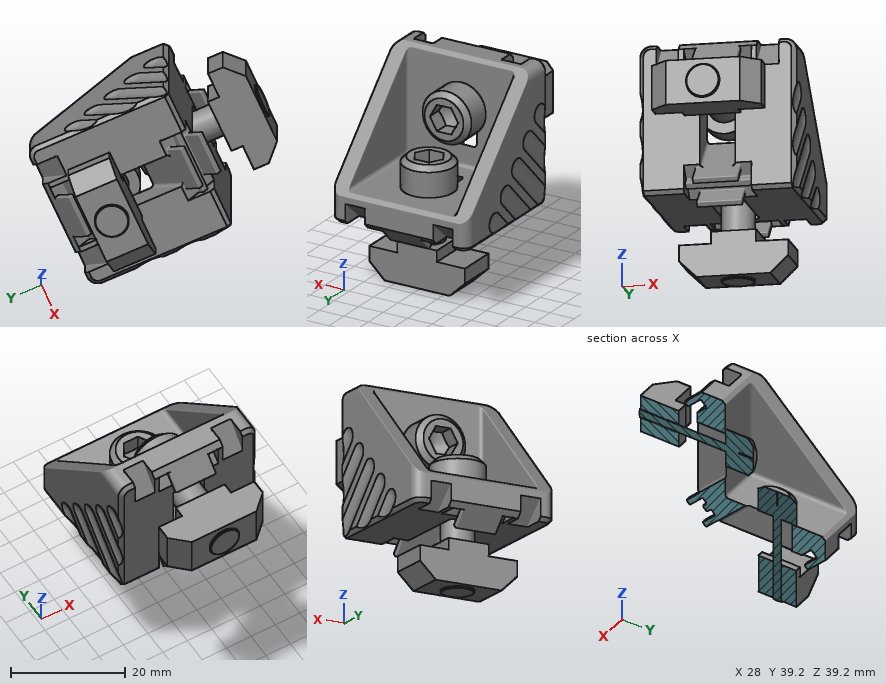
import cadquery as cq
import math

MIRROR_NORMAL = (0, 1, -1)

BRACKET_WIDTH = 28.0
LEG = 27.0
NOSE = 5.3
CORNER_RADIUS = 2.0
FACE_CHAMFER = 0.75
RIM_FILLET = 0.15

WALL = 6.0
POCKET_WIDTH = 22.0
POCKET_FILLET = 0.75
MOUTH_FILLET = 0.25

SCREW_OFFSET = 16.9
SLOT_WIDTH = 6.3
SLOT_FILLET = 0.6
SLOT_FLOOR = 4.2

NOTCH_INNER = 6.98
NOTCH_OUTER = 10.98
NOTCH_DEPTH = 4.0
NOTCH_LENGTH = 4.63
NOTCH_FILLET = 0.15
LIP_CHAMFER = 1.0

TAB_WIDTH = 8.08
TAB_THICKNESS = 1.1
TAB_LENGTH = 3.8
TAB_FILLET = 0.2
RECESS_WIDTH = 12.1
RECESS_FILLET = 0.25
OUTER_RECESS_SUM = LEG - LIP_CHAMFER
OUTER_RECESS_DIFF = 22.05
OUTER_TAB_DIFF = OUTER_RECESS_SUM
INNER_RECESS_SUM = 4.98
INNER_TAB_DIFF = SLOT_FLOOR
RIB_SUM = 3.18
RIB_DIFF = 0.95

GROOVE_COUNT = 5
GROOVE_PITCH = 5.37
GROOVE_WIDTH = 3.65
GROOVE_DEPTH = 0.55
GROOVE_START_SUM = 20.4

SHAFT_DIAMETER = 6.0
SCREW_TIP = 12.2
TIP_CHAMFER = 0.15
HEAD_DIAMETER = 10.0
HEAD_HEIGHT = 5.85
HEAD_CHAMFER = 1.0
HEX_FLATS = 5.0
HEX_DEPTH = 2.98
HEX_TIP_ANGLE = 120

NUT_TOP = 3.8
NUT_FLANGE_TOP = 5.95
NUT_TAPER_START = 8.82
NUT_BOTTOM = 11.85
NUT_FLANGE_WIDTH = 19.55
NUT_BOTTOM_WIDTH = 13.25
NUT_LENGTH = 7.95
FRONT_NECK_WIDTH = 10.05
BOTTOM_NECK_WIDTH = 8.08


def prism(points, width):
    """Extrude a (y, z) outline symmetrically about x = 0."""
    return cq.Workplane("YZ").polyline(points).close().extrude(width / 2, both=True)


def mirrored(body):
    """Swap the Y and Z sides of a body."""
    return cq.Workplane(body.val().mirror(MIRROR_NORMAL))


def with_mirror(body):
    return body.union(mirrored(body))


def point(total, difference):
    """The (y, z) point with the given y + z and z - y."""
    return ((total - difference) / 2, (total + difference) / 2)


def block():
    body = prism([(0, 0), (LEG, 0), (LEG, NOSE), (NOSE, LEG), (0, LEG)], BRACKET_WIDTH)
    body = body.faces(">Z").edges("|Y").fillet(CORNER_RADIUS)
    body = body.faces(">Y").edges("|Z").fillet(CORNER_RADIUS)
    body = body.faces("<Y or <Z").edges().chamfer(FACE_CHAMFER)
    return body.faces(">(0,1,1)").edges().fillet(RIM_FILLET)


def pocket():
    body = prism([(WALL, WALL), (2 * LEG, WALL), (WALL, 2 * LEG)], POCKET_WIDTH)
    return body.edges("|Y or |Z or <(0,1,1)").fillet(POCKET_FILLET)


def with_rounded_mouth(body):
    """Round the edge where the pocket opens into the sloping face."""
    mouth = [edge for wire in body.faces(">(0,1,1)").val().innerWires() for edge in wire.Edges()]
    return cq.Workplane(body.val().fillet(MOUTH_FILLET, mouth))


def slot():
    """Screw slot through the front wall, with a floor that slopes inward."""
    slot_top = SCREW_OFFSET + SLOT_WIDTH / 2
    body = prism([(0, SLOT_FLOOR), (WALL, SLOT_FLOOR + WALL), (WALL, slot_top), (0, slot_top)], SLOT_WIDTH)
    return body.edges("|Y").fillet(SLOT_FILLET).edges("|(0,1,1)").fillet(SLOT_FILLET)


def notch():
    """One of the sloping notches across the top front edge, on the +X side."""
    outline = [(0, LEG - NOTCH_LENGTH), (NOTCH_DEPTH, LEG), (0, LEG)]
    body = prism(outline, NOTCH_OUTER - NOTCH_INNER)
    body = body.faces(">(0,1,-1)").edges("not |X").fillet(NOTCH_FILLET)
    return body.translate(((NOTCH_OUTER + NOTCH_INNER) / 2, 0, 0))


def lip_chamfer():
    return prism([(0, LEG - LIP_CHAMFER), (LIP_CHAMFER, LEG), (0, LEG)], 2 * NOTCH_INNER)


def outer_recess():
    """Recess in the front face for the upper tab: one wall along the tab, one square to it."""
    outline = [
        (0, OUTER_RECESS_DIFF),
        point(OUTER_RECESS_SUM, OUTER_RECESS_DIFF),
        (0, OUTER_RECESS_SUM),
    ]
    return prism(outline, RECESS_WIDTH).edges(">Y").fillet(RECESS_FILLET)


def inner_recess():
    """Recess across the edge where the mounting faces meet, with a rib between its two tabs."""
    outline = [
        (0, 0),
        (INNER_RECESS_SUM, 0),
        point(INNER_RECESS_SUM, -RIB_DIFF),
        point(RIB_SUM, -RIB_DIFF),
        point(RIB_SUM, RIB_DIFF),
        point(INNER_RECESS_SUM, RIB_DIFF),
        (0, INNER_RECESS_SUM),
    ]
    body = prism(outline, RECESS_WIDTH)
    return body.edges("|X and (not <Y) and (not <Z)").fillet(RECESS_FILLET)


def tab(root_sum, top_diff):
    """Tab standing out square to the sloping face, from the recess wall where y + z = root_sum."""
    tip_sum = root_sum - TAB_LENGTH * math.sqrt(2)
    low_diff = top_diff - TAB_THICKNESS * math.sqrt(2)
    body = prism(
        [
            point(root_sum, low_diff),
            point(root_sum, top_diff),
            point(tip_sum, top_diff),
            point(tip_sum, low_diff),
        ],
        TAB_WIDTH,
    )
    return body.edges("|(0,1,1) or <(0,1,1)").fillet(TAB_FILLET)


def side_grooves():
    """Shallow round grooves with ball ends on the +X side, running parallel to the tabs."""
    radius = (GROOVE_WIDTH**2 / 4 + GROOVE_DEPTH**2) / (2 * GROOVE_DEPTH)
    axis_x = BRACKET_WIDTH / 2 - GROOVE_DEPTH + radius
    cutters = []
    for i in range(GROOVE_COUNT):
        difference = (i - (GROOVE_COUNT - 1) / 2) * GROOVE_PITCH * math.sqrt(2)
        y, z = point(GROOVE_START_SUM, difference)
        start = cq.Vector(axis_x, y, z)
        cutters.append(cq.Solid.makeSphere(radius, start, angleDegrees1=-90, angleDegrees2=90))
        cutters.append(cq.Solid.makeCylinder(radius, LEG, start, cq.Vector(0, -1, -1)))
    return cutters


def with_tab_roots(body):
    """Fillet where the two inner tabs meet the recess wall behind them."""
    outer_diff = INNER_TAB_DIFF
    inner_diff = INNER_TAB_DIFF - TAB_THICKNESS * math.sqrt(2)
    tolerance = 0.005
    roots = []
    for edge in body.edges().vals():
        center = edge.Center()
        on_wall = abs(center.y + center.z - INNER_RECESS_SUM) < tolerance
        beside_tab = abs(center.x) < TAB_WIDTH / 2 + tolerance
        across_tab = inner_diff - tolerance < abs(center.z - center.y) < outer_diff + tolerance
        if on_wall and beside_tab and across_tab:
            roots.append(edge)
    return cq.Workplane(body.val().fillet(TAB_FILLET, roots))


def make_bracket():
    body = with_rounded_mouth(block().cut(pocket()))
    for cutter in side_grooves():
        body = body.cut(cq.Workplane(cutter)).cut(cq.Workplane(cutter.mirror("YZ")))
    body = body.cut(with_mirror(notch()).union(with_mirror(notch()).mirror("YZ")))
    body = body.cut(lip_chamfer()).cut(mirrored(lip_chamfer()))
    body = body.cut(outer_recess()).cut(mirrored(outer_recess())).cut(inner_recess())
    body = body.union(with_mirror(tab(INNER_RECESS_SUM, INNER_TAB_DIFF)))
    body = with_tab_roots(body).union(with_mirror(tab(OUTER_RECESS_SUM, OUTER_TAB_DIFF)))
    return body.cut(slot()).cut(mirrored(slot()))


def make_screw():
    """Socket-head screw along Y, its head seated on the pocket wall."""
    head_top = WALL + HEAD_HEIGHT
    center = cq.Vector(0, 0, SCREW_OFFSET)
    along = cq.Vector(0, 1, 0)
    shaft = cq.Workplane(
        cq.Solid.makeCylinder(SHAFT_DIAMETER / 2, SCREW_TIP + WALL, center - along * SCREW_TIP, along)
    ).faces("<Y").chamfer(TIP_CHAMFER)
    head = cq.Workplane(
        cq.Solid.makeCylinder(HEAD_DIAMETER / 2, HEAD_HEIGHT, center + along * WALL, along)
    ).faces(">Y").chamfer(HEAD_CHAMFER)

    hex_radius = HEX_FLATS / math.sqrt(3)
    cone_depth = hex_radius / math.tan(math.radians(HEX_TIP_ANGLE / 2))
    floor = center + along * (head_top - HEX_DEPTH)
    hexagon = (
        cq.Workplane("XZ", origin=(0, head_top, SCREW_OFFSET))
        .polygon(6, 2 * hex_radius)
        .extrude(HEX_DEPTH + cone_depth)
    )
    drill = cq.Workplane(cq.Solid.makeCylinder(hex_radius, HEX_DEPTH, floor, along)).union(
        cq.Workplane(cq.Solid.makeCone(hex_radius, 0, cone_depth, floor, along * -1))
    )
    return head.union(shaft).cut(hexagon.intersect(drill))


def make_nut(neck_width):
    """T-nut on the screw along Y."""
    half_outline = [
        (neck_width / 2, NUT_TOP),
        (neck_width / 2, NUT_FLANGE_TOP),
        (NUT_FLANGE_WIDTH / 2, NUT_FLANGE_TOP),
        (NUT_FLANGE_WIDTH / 2, NUT_TAPER_START),
        (NUT_BOTTOM_WIDTH / 2, NUT_BOTTOM),
    ]
    outline = [(x, -depth) for x, depth in half_outline]
    outline += [(-x, y) for x, y in reversed(outline)]
    nut = (
        cq.Workplane("XY", origin=(0, 0, SCREW_OFFSET))
        .polyline(outline)
        .close()
        .extrude(NUT_LENGTH / 2, both=True)
    )
    bore = cq.Workplane("XZ", origin=(0, 0, SCREW_OFFSET)).circle(SHAFT_DIAMETER / 2).extrude(NUT_BOTTOM)
    return nut.cut(bore)


bracket = make_bracket()
front_screw = make_screw()
bottom_screw = mirrored(make_screw())
front_nut = make_nut(FRONT_NECK_WIDTH)
bottom_nut = mirrored(make_nut(BOTTOM_NECK_WIDTH))

result = cq.Compound.makeCompound(
    [bracket.val(), front_screw.val(), bottom_screw.val(), front_nut.val(), bottom_nut.val()]
)